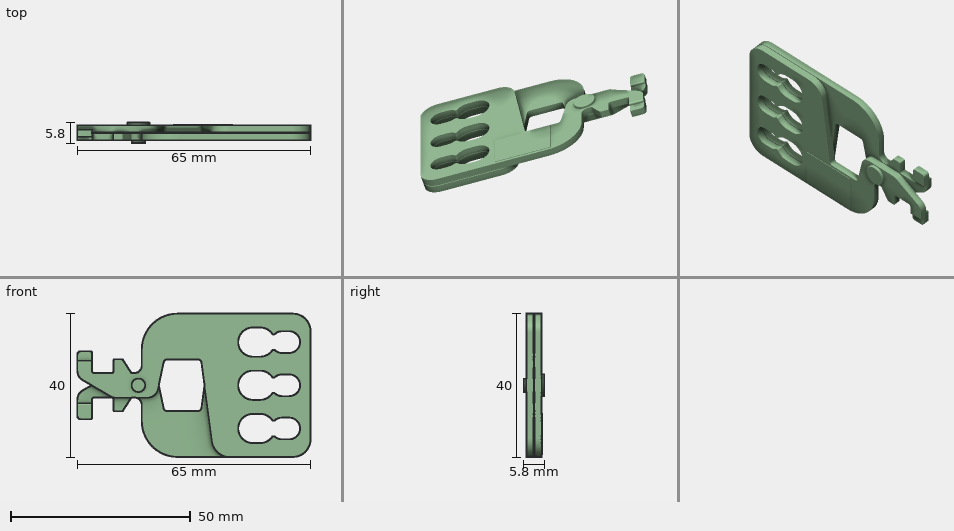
import math

import cadquery as cq


plate_thickness = 2.0
plate_gap = 0.2
inner_face = plate_gap / 2
outer_face = inner_face + plate_thickness

tool_length = 65.0
tool_height = 40.0
jaw_tip_x = -17.0
handle_end_x = jaw_tip_x + tool_length
handle_front_x = 0.9
handle_half_height = tool_height / 2
handle_front_radius = 10.0
handle_end_radius = 5.0

opening_top_z = 7.15
opening_front_x = 7.2
opening_rear_x = 17.4
opening_front_tilt = math.radians(12.0)
opening_rear_tilt = math.radians(7.6)
opening_radius = 1.0

arm_half_height = 3.45
neck_radius = 2.0
arm_radius = 3.0
jaw_width = 4.15
jaw_top_z = 9.5
jaw_tip_radius = 1.0
mouth_x = -13.05
mouth_angle = math.radians(30.0)
tooth_front_x = -6.95
tooth_rear_x = -4.4
tooth_foot_x = -1.95
tooth_top_z = 7.3
tooth_radius = 0.4
small_radius = 0.5

jaw_step = plate_thickness / 2
inner_step_z = 4.95
outer_step_z = 6.9
step_inside_radius = 0.2

slot_pitch = 12.0
slot_offsets = (-slot_pitch, 0, slot_pitch)
large_lobe_radius = 4.0
large_lobe_start_x = 27.8
large_lobe_length = 10.15
small_lobe_radius = 3.0
small_lobe_end_x = 45.0
small_lobe_length = 8.0
slot_waist_radius = 0.5

rivet_radius = 1.9
rivet_protrusion = 0.8
rivet_head_radius = 3.1
rivet_head_edge_radius = 0.25

pad_thickness = 0.1
pad_width = 16.25
pad_height = 11.3
pad_center_x = 18.0
pad_center_z = -13.5


def toward(start, end, distance):
    """Point at the given distance from start on the way to end."""
    ratio = distance / math.dist(start, end)
    return (start[0] + (end[0] - start[0]) * ratio, start[1] + (end[1] - start[1]) * ratio)


def rounded_outline(plane, corners):
    """Closed outline through (u, v, radius) corners, each rounded by a tangent arc."""
    arcs = []
    for i, (u, v, radius) in enumerate(corners):
        corner = (u, v)
        before = corners[i - 1][:2]
        after = corners[(i + 1) % len(corners)][:2]
        if radius == 0:
            arcs.append((corner, corner, corner))
            continue
        to_before = toward(corner, before, 0.65)
        to_after = toward(corner, after, 0.65)
        bisector = ((to_before[0] + to_after[0]) / 2, (to_before[1] + to_after[1]) / 2)
        half_angle = math.asin(math.dist(to_before, to_after) / 1.3)
        setback = radius / math.tan(half_angle)
        arc_depth = radius / math.sin(half_angle) - radius
        arcs.append((
            toward(corner, before, setback),
            toward(corner, bisector, arc_depth),
            toward(corner, after, setback),
        ))

    outline = cq.Workplane(plane).moveTo(*arcs[0][2])
    for start, middle, end in arcs[1:] + arcs[:1]:
        outline = outline.lineTo(*start)
        if start != end:
            outline = outline.threePointArc(middle, end)
    return outline.close()


def lever_prism():
    """Lever outline in XZ, deep enough to hold both the plate and its stepped jaw."""
    jaw_rear_x = jaw_tip_x + jaw_width
    opening_foot_x = opening_front_x - (opening_top_z + arm_half_height) * math.tan(opening_front_tilt)
    handle_toe_x = opening_rear_x + (opening_top_z + handle_half_height) * math.tan(opening_rear_tilt)
    mouth_foot_x = mouth_x + arm_half_height / math.tan(mouth_angle)
    mouth_tip_z = (mouth_x - jaw_tip_x) * math.tan(mouth_angle)
    corners = [
        (jaw_tip_x, jaw_top_z, jaw_tip_radius),
        (jaw_rear_x, jaw_top_z, small_radius),
        (jaw_rear_x, arm_half_height, small_radius),
        (tooth_front_x, arm_half_height, small_radius),
        (tooth_front_x, tooth_top_z, tooth_radius),
        (tooth_rear_x, tooth_top_z, small_radius),
        (tooth_foot_x, arm_half_height, small_radius),
        (handle_front_x, arm_half_height, neck_radius),
        (handle_front_x, handle_half_height, handle_front_radius),
        (handle_end_x, handle_half_height, handle_end_radius),
        (handle_end_x, -handle_half_height, handle_end_radius),
        (handle_toe_x, -handle_half_height, handle_end_radius),
        (opening_rear_x, opening_top_z, opening_radius),
        (opening_front_x, opening_top_z, opening_radius),
        (opening_foot_x, -arm_half_height, arm_radius),
        (mouth_foot_x, -arm_half_height, arm_radius),
        (jaw_tip_x, mouth_tip_z, arm_radius),
    ]
    inner_limit = jaw_step - inner_face
    prism = rounded_outline("XZ", corners).extrude(outer_face + inner_limit)
    return prism.translate((0, inner_limit, 0))


def lever_envelope():
    """Flat slab for the handle and arm, joined to the stepped section of the jaw."""
    slab_length = handle_end_x - jaw_tip_x - jaw_width
    slab = cq.Workplane("XY").box(slab_length, plate_thickness, tool_height, centered=(False, False, True))
    slab = slab.translate((jaw_tip_x + jaw_width, -outer_face, 0))
    step_corners = [
        (-outer_face, -arm_half_height, 0),
        (-outer_face, outer_step_z, small_radius),
        (-outer_face + jaw_step, outer_step_z, step_inside_radius),
        (-outer_face + jaw_step, jaw_top_z, 0),
        (-inner_face + jaw_step, jaw_top_z, 0),
        (-inner_face + jaw_step, inner_step_z, small_radius),
        (-inner_face, inner_step_z, step_inside_radius),
        (-inner_face, -arm_half_height, 0),
    ]
    jaw = rounded_outline("YZ", step_corners).extrude(jaw_width).translate((jaw_tip_x, 0, 0))
    return slab.union(jaw)


def lobe(start_x, length, radius):
    """Round-ended bar along X, passing through both levers."""
    bar = cq.Workplane("XZ").center(start_x + length / 2, 0).slot2D(length, 2 * radius)
    return bar.extrude(outer_face, both=True)


def slot_cutter():
    """Large and small lobe merged, with the two cusps at the waist rounded."""
    large = lobe(large_lobe_start_x, large_lobe_length, large_lobe_radius)
    small = lobe(small_lobe_end_x - small_lobe_length, small_lobe_length, small_lobe_radius)
    large_center_x = large_lobe_start_x + large_lobe_length - large_lobe_radius
    small_center_x = small_lobe_end_x - small_lobe_length + small_lobe_radius
    span = small_center_x - large_center_x
    waist_offset = (span**2 + large_lobe_radius**2 - small_lobe_radius**2) / (2 * span)
    waist_z = math.sqrt(large_lobe_radius**2 - waist_offset**2)
    cutter = large.union(small)
    for z in (waist_z, -waist_z):
        waist_point = (large_center_x + waist_offset, 0, z)
        cutter = cutter.edges(cq.NearestToPointSelector(waist_point)).fillet(slot_waist_radius)
    return cutter


def rivet():
    """Pin through both levers with a rounded head on the back."""
    pin = cq.Workplane("XZ", origin=(0, outer_face, 0)).circle(rivet_radius)
    pin = pin.extrude(2 * outer_face + rivet_protrusion)
    head = cq.Workplane("XZ", origin=(0, outer_face + rivet_protrusion, 0)).circle(rivet_head_radius)
    head = head.extrude(rivet_protrusion).faces(">Y").edges().fillet(rivet_head_edge_radius)
    return pin.union(head)


def label_pad():
    """Plain raised rectangle on the outer face of the back lever."""
    pad = cq.Workplane("XZ", origin=(pad_center_x, outer_face + pad_thickness, pad_center_z))
    return pad.rect(pad_width, pad_height).extrude(pad_thickness)


front_lever = lever_prism().intersect(lever_envelope())
for slot_z in slot_offsets:
    front_lever = front_lever.cut(slot_cutter().translate((0, 0, slot_z)))

back_lever = front_lever.rotate((0, 0, 0), (1, 0, 0), 180)

result = front_lever.union(back_lever).union(rivet()).union(label_pad())